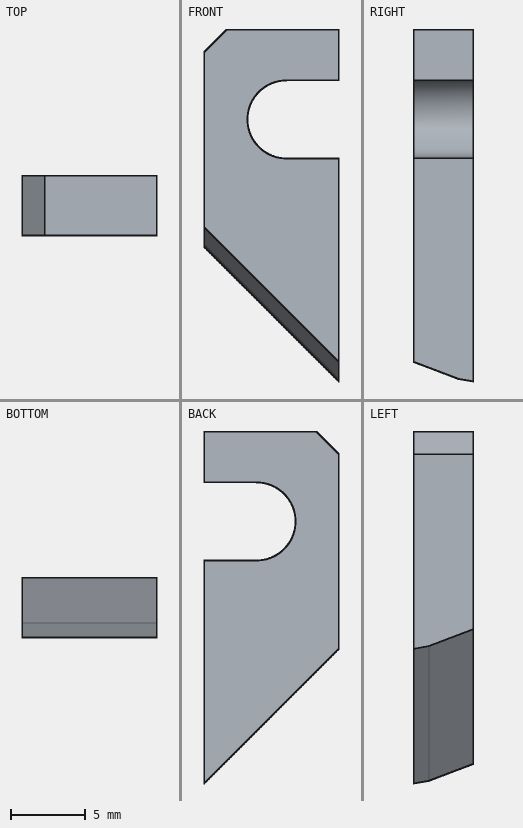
import cadquery as cq
import math

WIDTH = 9.0
THICKNESS = 4.0
HEIGHT = 23.5
CORNER_CHAMFER = 1.5
SLOT_WIDTH = 5.2
SLOT_CENTER_X = 5.5
SLOT_DROP = 6.0
EDGE_ANGLE = 45.0
LAND_WIDTH = 1.0
LAND_ANGLE = 7.0
BEVEL_ANGLE = 15.0

SLOT_RADIUS = SLOT_WIDTH / 2
EDGE_RISE = WIDTH * math.tan(math.radians(EDGE_ANGLE))


def vertical_rise(depth, relief_angle):
    """Rise along Z of a relief face over a depth along Y."""
    square_rise = depth * math.tan(math.radians(relief_angle))
    return square_rise / math.cos(math.radians(EDGE_ANGLE))


def make_blade():
    """Flat blade with a chamfered top corner and a sloping lower edge; back face at Y = THICKNESS."""
    outline = [
        (0, EDGE_RISE),
        (WIDTH, 0),
        (WIDTH, HEIGHT),
        (CORNER_CHAMFER, HEIGHT),
        (0, HEIGHT - CORNER_CHAMFER),
    ]
    return cq.Workplane("XZ").polyline(outline).close().extrude(-THICKNESS)


def make_slot():
    """Clamping slot with a round end, open on the +X side."""
    center_z = HEIGHT - SLOT_DROP
    return (
        cq.Workplane("XZ")
        .moveTo(WIDTH, center_z + SLOT_RADIUS)
        .lineTo(SLOT_CENTER_X, center_z + SLOT_RADIUS)
        .threePointArc(
            (SLOT_CENTER_X - SLOT_RADIUS, center_z),
            (SLOT_CENTER_X, center_z - SLOT_RADIUS),
        )
        .lineTo(WIDTH, center_z - SLOT_RADIUS)
        .close()
        .extrude(-THICKNESS)
    )


def make_relief():
    """Material ground away below the cutting edge: its YZ section is swept along the sloping edge."""
    land_y = THICKNESS - LAND_WIDTH
    land_rise = vertical_rise(LAND_WIDTH, LAND_ANGLE)
    total_rise = land_rise + vertical_rise(land_y, BEVEL_ANGLE)
    section = [
        (THICKNESS, EDGE_RISE),
        (land_y, EDGE_RISE + land_rise),
        (0, EDGE_RISE + total_rise),
        (0, EDGE_RISE),
    ]
    edge_path = cq.Workplane("XZ").moveTo(0, EDGE_RISE).lineTo(WIDTH, 0)
    return cq.Workplane("YZ").polyline(section).close().sweep(edge_path)


result = make_blade().cut(make_slot()).cut(make_relief())